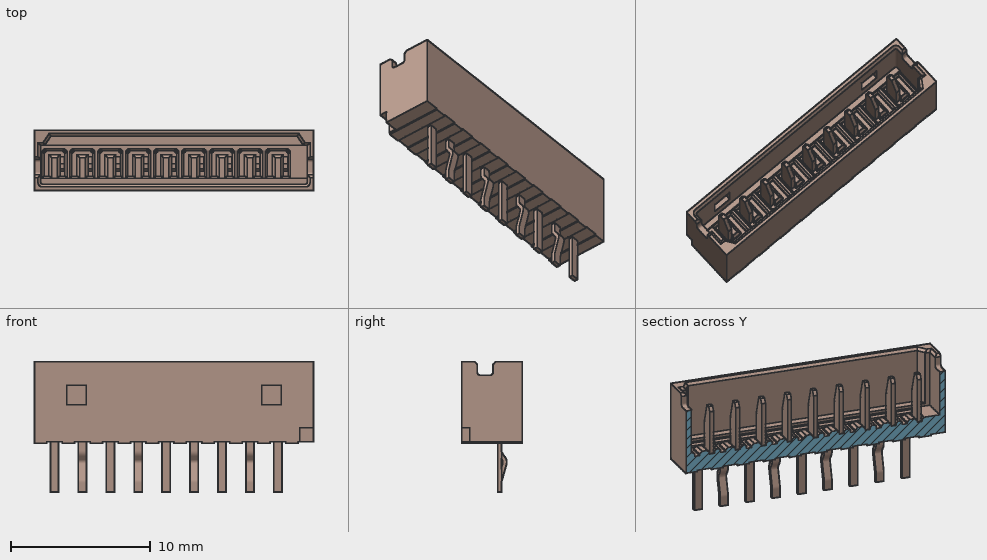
import cadquery as cq
import math


length = 20.0
width = 4.35
height = 5.85
side_wall = 0.45
front_wall = 0.47
corner_radius = 0.15
rim_chamfer = 0.2

pin_count = 9
pitch = 2.0
first_pin_inset = 1.44
first_pin_x = -length / 2 + first_pin_inset

floor_z = 1.55
ledge_rise = 0.2
ledge_z = floor_z + ledge_rise
floor_front_y = 0.9
floor_back_y = 3.25
cavity_half_length = length / 2 - side_wall

recess_back_y = 3.9
recess_slant_y = 3.35
recess_inset = 0.8
recess_back_inset = 1.17
recess_half_length = length / 2 - recess_inset
recess_back_half_length = length / 2 - recess_back_inset

channel_width = 1.5
channel_front_y = 1.05
channel_back_y = 2.85
channel_depth = 0.3
channel_chamfer = 0.15
tongue_width = 0.8
tongue_back_y = 2.58
tongue_chamfer = 0.2

blade_left = tongue_width / 2
blade_thickness = 0.3
blade_front_y = 1.38
blade_top_front_y = 1.58
blade_top_back_y = 1.92
blade_back_y = 2.43
blade_top_z = 4.85
blade_front_slope = math.radians(60)
blade_back_slope = math.radians(71)

tail_width = 0.6
tail_thickness = 0.3
tail_front_y = 2.57
tail_bottom_z = -3.5
tail_root_z = 0.4
kink_depth = 0.4
kink_peak_z = -1.3
kink_upper_angle = math.radians(36)
kink_lower_angle = math.radians(15.8)
bend_inner_radius = 0.3
bend_outer_radius = bend_inner_radius + tail_thickness

notch_front_y = 1.13
notch_back_y = 2.24
notch_depth = 0.97
notch_chamfer = 0.2
notch_radius = 0.2

window_width = 1.4
window_height = 1.42
window_bottom_z = 2.75
window_x = 7.0

relief_height = 0.1
relief_width = 1.1
end_relief_length = 1.1
corner_length = 1.0
corner_height = 1.1
corner_depth = 0.58


def box(x_min, x_max, y_min, y_max, z_min, z_max):
    size = (x_max - x_min, y_max - y_min, z_max - z_min)
    return cq.Workplane("XY").box(*size, centered=False).translate((x_min, y_min, z_min))


def side_profile(points, x_min, thickness):
    """Extrude a (y, z) outline along +X."""
    return cq.Workplane("YZ", origin=(x_min, 0, 0)).polyline(points).close().extrude(thickness)


def rim_flare(outline):
    """Widen an outline at 45 degrees up to the rim, with mitred corners."""
    return outline(height).offset2D(rim_chamfer, "intersection").extrude(-rim_chamfer, taper=45)


def cavity_outline(z):
    base = cq.Workplane("XY", origin=(0, 0, z))
    half = cavity_half_length
    return (
        base.moveTo(-half, floor_back_y)
        .lineTo(-half, front_wall + corner_radius)
        .radiusArc((-half + corner_radius, front_wall), -corner_radius)
        .lineTo(half - corner_radius, front_wall)
        .radiusArc((half, front_wall + corner_radius), -corner_radius)
        .lineTo(half, floor_back_y)
        .close()
    )


def recess_outline(z):
    points = [
        (-recess_half_length, floor_front_y),
        (recess_half_length, floor_front_y),
        (recess_half_length, recess_slant_y),
        (recess_back_half_length, recess_back_y),
        (-recess_back_half_length, recess_back_y),
        (-recess_half_length, recess_slant_y),
    ]
    return cq.Workplane("XY", origin=(0, 0, z)).polyline(points).close()


def cavity():
    rim_z = height - rim_chamfer
    half = cavity_half_length
    space = box(-half, half, floor_front_y, floor_back_y, floor_z, ledge_z)
    for outline in (cavity_outline, recess_outline):
        space = space.union(outline(ledge_z).extrude(rim_z - ledge_z))
        space = space.union(rim_flare(outline))
    return space


def chamfered_channel(x):
    """U-shaped channel with a chamfered mouth, open around a tongue level with the floor."""
    mouth_z = floor_z - channel_chamfer
    bottom_z = floor_z - channel_depth
    half = channel_width / 2
    middle_y = (channel_front_y + channel_back_y) / 2
    pocket = box(x - half, x + half, channel_front_y, channel_back_y, bottom_z, mouth_z)
    mouth = (
        cq.Workplane("XY", origin=(x, middle_y, floor_z))
        .rect(channel_width + 2 * channel_chamfer, channel_back_y - channel_front_y + 2 * channel_chamfer)
        .extrude(-channel_chamfer, taper=45)
        .edges("not(|X or |Y)")
        .edges(">Y")
        .chamfer(channel_chamfer)
    )
    tongue_half = tongue_width / 2
    tongue = box(x - tongue_half, x + tongue_half, front_wall, tongue_back_y, bottom_z, floor_z)
    tongue = tongue.faces(">Z").edges("<X or >X or >Y").chamfer(tongue_chamfer)
    return pocket.union(mouth).cut(tongue)


def end_notch():
    """Keying notch running the full length, so that it opens both end walls."""
    bottom_z = height - notch_depth
    shoulder_z = height - notch_chamfer
    half = length / 2
    slot = box(-half, half, notch_front_y, notch_back_y, bottom_z, height)
    slot = slot.edges("|X and <Z").fillet(notch_radius)
    mouth = [
        (notch_front_y, shoulder_z),
        (notch_back_y, shoulder_z),
        (notch_back_y + notch_chamfer, height),
        (notch_front_y - notch_chamfer, height),
    ]
    return slot.union(side_profile(mouth, -half, length))


def window(x):
    half = window_width / 2
    return box(x - half, x + half, 0, front_wall, window_bottom_z, window_bottom_z + window_height)


def underside_relief(x_min, x_max):
    return box(x_min, x_max, 0, width, 0, relief_height)


def front_corner_cutout():
    end = length / 2
    return box(end - corner_length, end, 0, corner_depth, 0, corner_height)


def blade(x):
    root_z = floor_z - channel_depth
    front_z = blade_top_z - (blade_top_front_y - blade_front_y) * math.tan(blade_front_slope)
    back_z = blade_top_z - (blade_back_y - blade_top_back_y) * math.tan(blade_back_slope)
    points = [
        (blade_front_y, root_z),
        (blade_front_y, front_z),
        (blade_top_front_y, blade_top_z),
        (blade_top_back_y, blade_top_z),
        (blade_back_y, back_z),
        (blade_back_y, root_z),
    ]
    return side_profile(points, x + blade_left, blade_thickness)


def straight_tail(x):
    half = tail_width / 2
    tail_back_y = tail_front_y + tail_thickness
    return box(x - half, x + half, tail_front_y, tail_back_y, tail_bottom_z, tail_root_z)


def kinked_tail(x):
    """Tail of constant thickness bent into a rounded bulge towards +Y."""
    upper = math.tan(kink_upper_angle)
    lower = math.tan(kink_lower_angle)
    start_z = kink_peak_z + kink_depth / upper
    end_z = kink_peak_z - kink_depth / lower
    back_y = tail_front_y + tail_thickness
    back_start_z = start_z + tail_thickness * math.tan(kink_upper_angle / 2)
    back_end_z = end_z - tail_thickness * math.tan(kink_lower_angle / 2)
    back_peak_z = (upper * back_start_z + lower * back_end_z) / (upper + lower)
    back_peak_y = back_y + lower * (back_peak_z - back_end_z)
    points = [
        (tail_front_y, tail_root_z),
        (tail_front_y, start_z),
        (tail_front_y + kink_depth, kink_peak_z),
        (tail_front_y, end_z),
        (tail_front_y, tail_bottom_z),
        (back_y, tail_bottom_z),
        (back_y, back_end_z),
        (back_peak_y, back_peak_z),
        (back_y, back_start_z),
        (back_y, tail_root_z),
    ]
    tail = side_profile(points, x - tail_width / 2, tail_width)
    inner_bends = [
        (tail_front_y + kink_depth, kink_peak_z),
        (back_y, back_start_z),
        (back_y, back_end_z),
    ]
    outer_bends = [(tail_front_y, start_z), (tail_front_y, end_z), (back_peak_y, back_peak_z)]
    for bends, radius in ((inner_bends, bend_inner_radius), (outer_bends, bend_outer_radius)):
        for y, z in bends:
            tail = tail.edges(cq.selectors.NearestToPointSelector((x, y, z))).fillet(radius)
    return tail


pin_positions = [first_pin_x + i * pitch for i in range(pin_count)]

housing = box(-length / 2, length / 2, 0, width, 0, height)
housing = housing.cut(cavity()).cut(end_notch()).cut(front_corner_cutout())
housing = housing.cut(window(-window_x)).cut(window(window_x))
housing = housing.cut(underside_relief(length / 2 - end_relief_length, length / 2))
for pin_x in pin_positions:
    housing = housing.cut(chamfered_channel(pin_x))
    housing = housing.cut(underside_relief(pin_x - relief_width / 2, pin_x + relief_width / 2))

result = housing
for index, pin_x in enumerate(pin_positions):
    tail = kinked_tail(pin_x) if index % 2 else straight_tail(pin_x)
    result = result.union(tail).union(blade(pin_x))